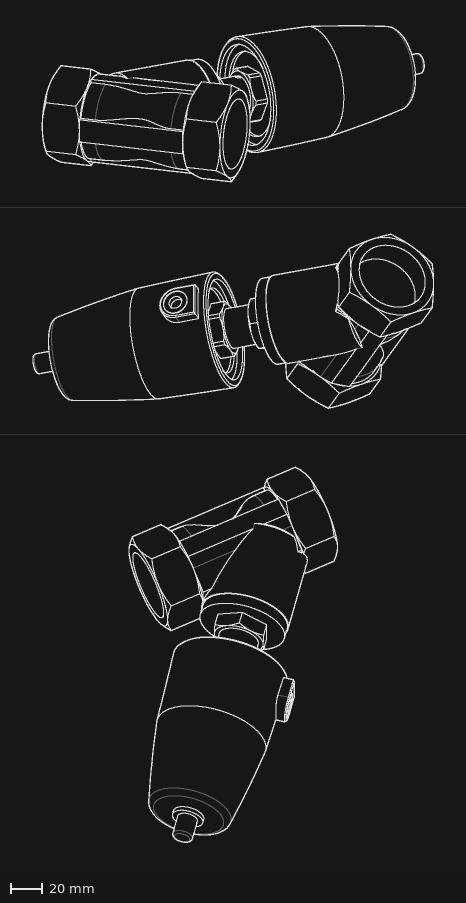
import cadquery as cq
import math

body_length = 120.4
end_flats = 56.2
end_hex_length = 25.2
thread_diameter = 44.8
thread_depth = 18.4
drill_point_angle = 118
rib_thickness = 14.9
pad_half_width = 6.2
pad_height = 27.7
pad_slope_y = 13.6
flow_tube_radius = 26.2
waist_start = 34.9
waist_end = 86.0
waist_half_width = 13.8
waist_half_height = 24.8

axis_start_x = 35.0
axis_angle = 50
neck_radius = 28.5
neck_bottom = 8.3
neck_chamfer = 1.5
neck_rim_radius = 27.9
neck_rim_bottom = 62.4
neck_top = 69.5

nut_flats = 32.0
nut_top = 78.9
hex_chamfer_angle = 30
yoke_radius = 12.9
yoke_hex_bottom = 96.5
yoke_hex_corner_diameter = 35.5
vent_diameter = 3.0
vent_height = 94.5
vent_depth = 2.0

housing_bottom = 100.0
housing_rim_radius = 37.48
housing_rim_chamfer = 1.2
housing_middle_height = 126.0
housing_middle_radius = 36.85
seam_height = 151.5
seam_radius = 36.0
recess_diameter = 65.0
ledge_depth = 3.7
ledge_inner_radius = 27.5
recess_depth = 6.0

cap_middle_height = 179.6
cap_middle_radius = 32.0
cap_top = 211.0
cap_top_radius = 26.5
cap_edge_radius = 4.1

port_face = 43.2
port_center = 118.3
port_bottom = 105.0
port_width = 21.5
port_inside = 33.0
port_edge_chamfer = 0.8
port_seat_diameter = 16.0
port_seat_depth = 0.5
port_hole_diameter = 8.5
port_hole_depth = 4.3

indicator_collar_diameter = 20.0
indicator_collar_height = 2.7
indicator_diameter = 13.0
indicator_top = 228.2
indicator_edge_radius = 1.5

tilt = math.radians(axis_angle)
actuator_frame = cq.Plane(
    origin=(axis_start_x, 0, 0),
    xDir=(math.sin(tilt), -math.cos(tilt), 0),
    normal=(math.cos(tilt), math.sin(tilt), 0),
)


def level(height):
    """Workplane across the local Z axis at a given height."""
    return cq.Workplane("XY", origin=(0, 0, height))


def on_actuator_axis(part):
    """Move a part built along local Z onto the inclined actuator axis."""
    return cq.Workplane(part.val().moved(actuator_frame.location))


def hexagon_bar(flats, length, first_corner, chamfered_ends, corner_diameter=None):
    """Hexagon along local Z whose chosen ends are turned down to the inscribed circle."""
    full_diameter = flats / math.cos(math.radians(30))
    turned_radius = (corner_diameter or full_diameter) / 2
    drop = turned_radius - flats / 2
    height = drop * math.tan(math.radians(hex_chamfer_angle))
    hexagon = cq.Workplane("XY").polygon(6, full_diameter).extrude(length)
    hexagon = hexagon.rotate((0, 0, 0), (0, 0, 1), first_corner)
    turned = cq.Workplane("XY").circle(turned_radius).extrude(length)
    for end in chamfered_ends:
        turned = turned.faces(end).chamfer(height, drop)
    return hexagon.intersect(turned)


def pipe_end(start_x):
    frame = cq.Plane.YZ(origin=(start_x, 0, 0))
    bar = hexagon_bar(end_flats, end_hex_length, 90, ("<Z", ">Z"))
    return cq.Workplane(bar.val().moved(frame.location))


def upper_block():
    """Hexagon flanks and marking pads that join the pipe ends on the actuator side."""
    flat_y = end_flats / 2
    flat_z = flat_y * math.tan(math.radians(30))
    half = [
        (-pad_half_width, pad_height),
        (pad_half_width, pad_height),
        (pad_slope_y, 2 * flat_z - pad_slope_y * math.tan(math.radians(30))),
        (flat_y, flat_z),
    ]
    mirrored = [(y, -z) for y, z in reversed(half)]
    block = cq.Workplane("YZ", origin=(end_hex_length, 0, 0)).polyline(half + mirrored).close()
    return block.extrude(body_length - 2 * end_hex_length)


def rib():
    inner_length = body_length - 2 * end_hex_length
    return cq.Workplane("XY").box(
        inner_length, end_flats / 2, rib_thickness, centered=(False, False, True)
    ).translate((end_hex_length, -end_flats / 2, 0))


def flow_tube():
    """Round pipe at both ends, drawn in smoothly to an oval waist between them."""
    sections = 8
    waist = cq.Workplane("YZ", origin=(waist_start, 0, 0))
    step = (waist_end - waist_start) / sections
    for i in range(sections + 1):
        squeeze = (1 - math.cos(2 * math.pi * i / sections)) / 2
        half_y = flow_tube_radius + (waist_half_width - flow_tube_radius) * squeeze
        half_z = flow_tube_radius + (waist_half_height - flow_tube_radius) * squeeze
        waist = waist.ellipse(half_y, half_z)
        if i < sections:
            waist = waist.workplane(offset=step)
    tube = waist.loft(combine=True)
    for start, end in ((end_hex_length, waist_start), (waist_end, body_length - end_hex_length)):
        straight = cq.Workplane("YZ", origin=(start, 0, 0)).circle(flow_tube_radius)
        tube = tube.union(straight.extrude(end - start))
    return tube


def neck():
    lower = level(neck_bottom).circle(neck_radius).extrude(neck_rim_bottom - neck_bottom)
    lower = lower.faces("<Z").chamfer(neck_chamfer)
    rim = level(neck_rim_bottom).circle(neck_rim_radius).extrude(neck_top - neck_rim_bottom)
    return on_actuator_axis(lower.union(rim))


def thread_bore():
    """Blind bore with a conical bottom, entering the left pipe end."""
    radius = thread_diameter / 2
    tip = thread_depth + radius / math.tan(math.radians(drill_point_angle / 2))
    profile = cq.Workplane("XY").polyline([(0, 0), (0, radius), (thread_depth, radius), (tip, 0)])
    return profile.close().revolve(360, (0, 0, 0), (1, 0, 0))


def make_valve_body():
    body = upper_block().union(rib()).union(flow_tube()).union(neck())
    for start_x in (0, body_length - end_hex_length):
        body = body.union(pipe_end(start_x))
    left_bore = thread_bore()
    right_bore = left_bore.mirror("YZ").translate((body_length, 0, 0))
    return body.cut(left_bore).cut(right_bore)


def make_bonnet_nut():
    nut = hexagon_bar(nut_flats, nut_top - neck_top, 90, (">Z",))
    return on_actuator_axis(nut.translate((0, 0, neck_top)))


def make_yoke():
    """Tube with a hexagon at the actuator end and a small vent hole facing up."""
    recess_floor = housing_bottom + recess_depth
    tube = level(nut_top).circle(yoke_radius).extrude(yoke_hex_bottom - nut_top)
    head = hexagon_bar(
        nut_flats, recess_floor - yoke_hex_bottom, 0, ("<Z",), yoke_hex_corner_diameter
    ).translate((0, 0, yoke_hex_bottom))
    vent = cq.Workplane("XZ", origin=(0, -yoke_radius + vent_depth, vent_height))
    vent = vent.circle(vent_diameter / 2).extrude(2 * vent_depth)
    return on_actuator_axis(tube.union(head).cut(vent))


def port():
    """Air connection lug: square at the bottom, round at the top."""
    half = port_width / 2
    side = cq.Workplane("YZ", origin=(-port_face, 0, 0))
    lug = (
        side.moveTo(-half, port_bottom)
        .lineTo(half, port_bottom)
        .lineTo(half, port_center)
        .threePointArc((0, port_center + half), (-half, port_center))
        .close()
        .extrude(port_face - port_inside)
    )
    return lug.faces("<X").chamfer(port_edge_chamfer)


def port_hole(diameter, depth):
    hole = cq.Workplane("YZ", origin=(-port_face, 0, port_center))
    return hole.circle(diameter / 2).extrude(depth)


def make_housing():
    shell = (
        cq.Workplane("XZ")
        .moveTo(0, housing_bottom)
        .lineTo(housing_rim_radius - housing_rim_chamfer, housing_bottom)
        .lineTo(housing_rim_radius, housing_bottom + housing_rim_chamfer)
        .threePointArc((housing_middle_radius, housing_middle_height), (seam_radius, seam_height))
        .lineTo(0, seam_height)
        .close()
        .revolve(360, (0, 0, 0), (0, 1, 0))
    )
    shell = shell.union(port())
    shell = shell.cut(port_hole(port_seat_diameter, port_seat_depth))
    shell = shell.cut(port_hole(port_hole_diameter, port_hole_depth))
    shell = shell.cut(level(housing_bottom).circle(recess_diameter / 2).extrude(ledge_depth))
    shell = shell.cut(level(housing_bottom).circle(ledge_inner_radius).extrude(recess_depth))
    return on_actuator_axis(shell)


def make_cap():
    cap = (
        cq.Workplane("XZ")
        .moveTo(0, seam_height)
        .lineTo(seam_radius, seam_height)
        .threePointArc((cap_middle_radius, cap_middle_height), (cap_top_radius, cap_top))
        .lineTo(0, cap_top)
        .close()
        .revolve(360, (0, 0, 0), (0, 1, 0))
        .edges(">Z")
        .fillet(cap_edge_radius)
    )
    return on_actuator_axis(cap)


def make_indicator():
    collar = level(cap_top).circle(indicator_collar_diameter / 2).extrude(indicator_collar_height)
    stub = level(cap_top).circle(indicator_diameter / 2).extrude(indicator_top - cap_top)
    return on_actuator_axis(collar.union(stub.edges(">Z").fillet(indicator_edge_radius)))


valve_body = make_valve_body()
bonnet_nut = make_bonnet_nut()
yoke = make_yoke()
housing = make_housing()
cap = make_cap()
indicator = make_indicator()

result = cq.Compound.makeCompound(
    [
        valve_body.val(),
        bonnet_nut.val(),
        yoke.val(),
        housing.val(),
        cap.val(),
        indicator.val(),
    ]
)